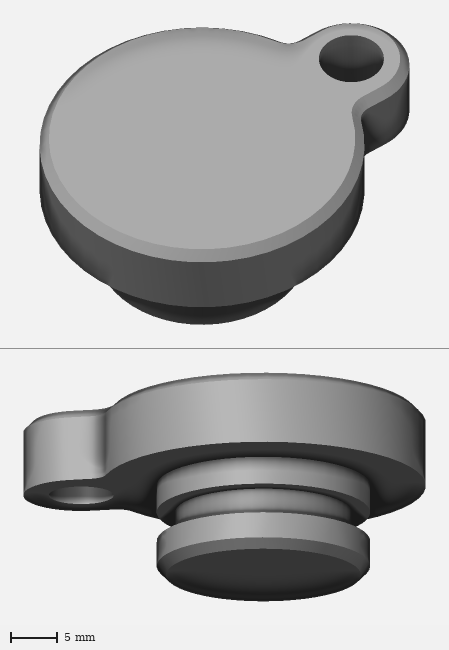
import cadquery as cq

cap_diameter = 35.0
cap_height = 8.0
cap_chamfer = 1.0

tab_radius = 6.25
tab_center_y = 20.0
tab_hole_diameter = 7.0
tab_blend_radius = 2.0

plug_diameter = 23.0
groove_diameter = 19.0
shoulder_height = 3.0
groove_height = 3.2
flange_height = 3.8
plug_chamfer = 1.0

flange_top = flange_height
groove_top = flange_top + groove_height
cap_bottom = groove_top + shoulder_height


def cylinder(diameter, height, bottom):
    """Cylinder on the Z axis, standing on the given level."""
    return cq.Workplane("XY").workplane(offset=bottom).circle(diameter / 2).extrude(height)


def make_cap():
    """Disc and rounded tab, blended together and chamfered around the top rim."""
    disc = cylinder(cap_diameter, cap_height, cap_bottom)
    tab_base = cq.Workplane("XY").workplane(offset=cap_bottom)
    tab_web = (
        tab_base.center(0, tab_center_y / 2)
        .rect(2 * tab_radius, tab_center_y)
        .extrude(cap_height)
    )
    tab_end = tab_base.center(0, tab_center_y).circle(tab_radius).extrude(cap_height)
    tab = tab_web.union(tab_end)

    corner_y = ((cap_diameter / 2) ** 2 - tab_radius ** 2) ** 0.5
    corner_z = cap_bottom + cap_height / 2
    body = disc.union(tab)
    for corner_x in (-tab_radius, tab_radius):
        corner = cq.selectors.NearestToPointSelector((corner_x, corner_y, corner_z))
        body = body.edges("|Z").edges(corner).fillet(tab_blend_radius)
    body = body.faces(">Z").edges().chamfer(cap_chamfer)

    hole = tab_base.center(0, tab_center_y).circle(tab_hole_diameter / 2).extrude(cap_height)
    return body.cut(hole)


def make_plug():
    """Shoulder, groove core and chamfered end flange."""
    shoulder = cylinder(plug_diameter, shoulder_height, groove_top)
    groove_core = cylinder(groove_diameter, groove_height, flange_top)
    flange = cylinder(plug_diameter, flange_height, 0).faces("<Z").chamfer(plug_chamfer)
    return shoulder.union(groove_core).union(flange)


result = make_cap().union(make_plug())